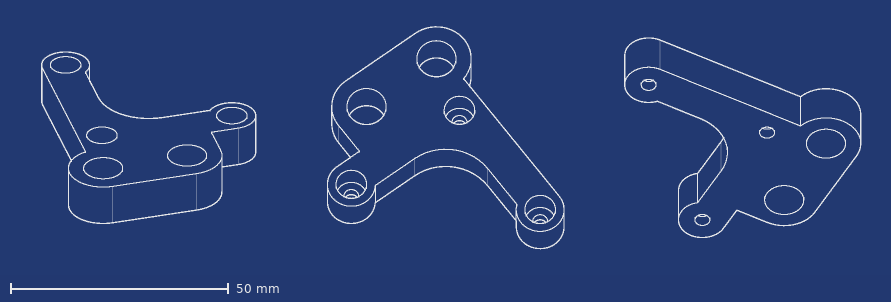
import cadquery as cq

thickness = 10.0

screw_pitch = 31.0
screw_diameter = 3.4
counterbore_diameter = 7.0
counterbore_depth = 6.95
boss_radius = 5.5
arm_inner_offset = 3.55
inner_fillet_radius = 12.0

lobe_radius = 8.0
large_hole_diameter = 9.0
large_hole_pitch = 20.0
overall_length = 58.0
lobe_x = overall_length - screw_pitch - boss_radius - lobe_radius
lower_lobe_y = -3.5
upper_lobe_y = lower_lobe_y + large_hole_pitch

screw_points = [(0, 0), (-screw_pitch, 0), (0, screw_pitch)]
large_hole_points = [(lobe_x, lower_lobe_y), (lobe_x, upper_lobe_y)]


def block(x_min, x_max, y_min, y_max):
    """Full-thickness rectangular block between the given limits."""
    return cq.Workplane("XY").box(
        x_max - x_min, y_max - y_min, thickness, centered=False
    ).translate((x_min, y_min, 0))


def cylinders(points, diameter, bottom=0):
    """Vertical cylinders from the given height to the top face."""
    return (
        cq.Workplane("XY", origin=(0, 0, bottom))
        .pushPoints(points)
        .circle(diameter / 2)
        .extrude(thickness - bottom)
    )


arms = block(-screw_pitch, boss_radius, -boss_radius, arm_inner_offset)
arms = arms.union(block(-arm_inner_offset, boss_radius, -boss_radius, screw_pitch))
inner_corner = cq.selectors.NearestToPointSelector(
    (-arm_inner_offset, arm_inner_offset, thickness / 2)
)
arms = arms.edges("|Z").edges(inner_corner).fillet(inner_fillet_radius)
arm_ends = cylinders(screw_points[1:], 2 * boss_radius)

lobe_top = upper_lobe_y + lobe_radius
lobe_right = lobe_x + lobe_radius
lobe = cylinders(large_hole_points, 2 * lobe_radius)
lobe = lobe.union(block(0, lobe_x, -boss_radius, lobe_top))
lobe = lobe.union(block(lobe_x, lobe_right, lower_lobe_y, upper_lobe_y))

plate = arms.union(arm_ends).union(lobe).clean()

plate = plate.cut(cylinders(screw_points, screw_diameter))
plate = plate.cut(cylinders(screw_points, counterbore_diameter, thickness - counterbore_depth))
result = plate.cut(cylinders(large_hole_points, large_hole_diameter))